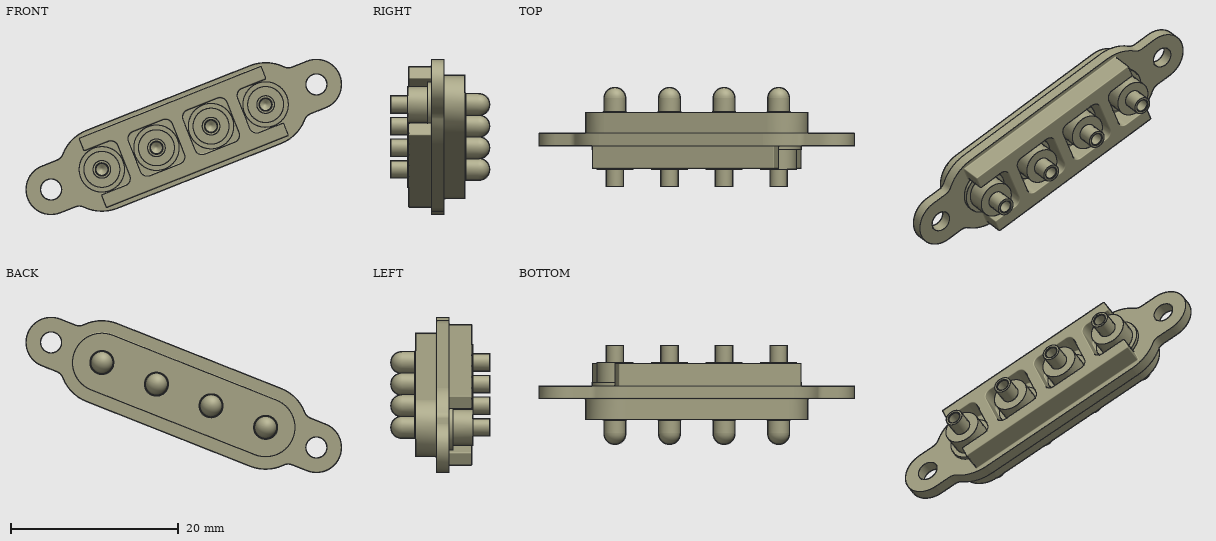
import cadquery as cq
import math

overall_length = 37.6
tilt_angle = 21.6

contact_count = 4
contact_pitch = 7.0
tip_radius = 1.3
tip_reach = 6.95
collar_radius = 2.7
collar_height = 0.45
shoulder_radius = 2.15
shoulder_height = 2.82
tail_radius = 1.05
tail_reach = 4.85
cup_radius = 0.7
cup_rim_chamfer = 0.08
cup_depth = 2.25
cup_point_angle = 118.0

plate_thickness = 1.5
plate_half_width = 5.0
ear_hole_spacing = 34.0
ear_hole_radius = 1.25
neck_radius = 1.2
ear_radius = (overall_length - ear_hole_spacing * math.cos(math.radians(tilt_angle))) / 2

boss_height = 2.5
boss_radius = 3.5
block_length = 23.3
block_width = 8.88
block_height = 2.7
pocket_size = 5.65
pocket_corner_radius = 0.9

edge_break = 0.1

row_length = (contact_count - 1) * contact_pitch
row_end = row_length / 2
contact_places = [i * contact_pitch - row_end for i in range(contact_count)]
contact_points = [(x, 0) for x in contact_places]
boss_length = row_length + 2 * boss_radius
boss_face = plate_thickness + boss_height


def front_plane(y):
    """Workplane facing -Y at depth y: a negative extrusion goes towards +Y."""
    return cq.Workplane("XZ", origin=(0, y, 0))


def make_plate():
    """Wide body with round ends and two ears, joined by concave neck arcs."""
    body = front_plane(0).slot2D(row_length + 2 * plate_half_width, 2 * plate_half_width)
    ears = front_plane(0).slot2D(ear_hole_spacing + 2 * ear_radius, 2 * ear_radius)
    plate = body.extrude(-plate_thickness).union(ears.extrude(-plate_thickness))

    corner_x = row_end + math.sqrt(plate_half_width**2 - ear_radius**2)
    for side_x in (-corner_x, corner_x):
        for side_z in (-ear_radius, ear_radius):
            corner = cq.selectors.NearestToPointSelector((side_x, plate_thickness / 2, side_z))
            plate = plate.edges("|Y").edges(corner).fillet(neck_radius)

    plate = plate.faces(">Y").edges().fillet(edge_break)
    ear_points = [(-ear_hole_spacing / 2, 0), (ear_hole_spacing / 2, 0)]
    ear_holes = front_plane(0).pushPoints(ear_points).circle(ear_hole_radius).extrude(-plate_thickness)
    return plate.cut(ear_holes)


def make_boss():
    """Rear boss with round ends concentric with the outer contacts."""
    boss = front_plane(plate_thickness).slot2D(boss_length, 2 * boss_radius)
    return boss.extrude(-boss_height)


def make_block():
    """Front block with a square pocket round each contact; the outer pockets open at the ends."""
    block = front_plane(0).rect(block_length, block_width).extrude(block_height)
    pockets = front_plane(0).pushPoints(contact_points).rect(pocket_size, pocket_size).extrude(block_height)
    pockets = pockets.edges("|Y").fillet(pocket_corner_radius)
    block = block.cut(pockets)
    block = block.faces("<X or >X").edges("|Y").fillet(edge_break)
    return block.faces("<Y").edges().fillet(edge_break)


def root_edges(y, length, width):
    """Selects the edges at depth y that lie within a rectangle about the centre of the plate."""
    margin = edge_break / 2
    reach_x = length / 2 + margin
    reach_z = width / 2 + margin
    return cq.selectors.BoxSelector((-reach_x, y - margin, -reach_z), (reach_x, y + margin, reach_z))


def make_housing():
    housing = make_plate().union(make_boss())
    housing = housing.edges(root_edges(plate_thickness, boss_length, 2 * boss_radius)).fillet(edge_break)
    housing = housing.union(make_block())
    housing = housing.edges(root_edges(0, block_length, block_width)).fillet(edge_break)
    bores = front_plane(0).pushPoints(contact_points).circle(tip_radius).extrude(-boss_face)
    return housing.cut(bores)


def make_contact(place):
    """Turned contact: domed tip, plain shank, collar, shoulder and hollow tail."""
    dome_start = tip_reach - tip_radius
    dome_mid = tip_radius * math.sqrt(0.5)
    cup_floor = cup_depth - tail_reach
    cup_point = cup_floor + cup_radius / math.tan(math.radians(cup_point_angle / 2))
    contact = (
        cq.Workplane("XY")
        .moveTo(0, cup_point)
        .lineTo(cup_radius, cup_floor)
        .lineTo(cup_radius, cup_rim_chamfer - tail_reach)
        .lineTo(cup_radius + cup_rim_chamfer, -tail_reach)
        .lineTo(tail_radius, -tail_reach)
        .lineTo(tail_radius, -shoulder_height)
        .lineTo(shoulder_radius, -shoulder_height)
        .lineTo(shoulder_radius, -collar_height)
        .lineTo(collar_radius, -collar_height)
        .lineTo(collar_radius, 0)
        .lineTo(tip_radius, 0)
        .lineTo(tip_radius, boss_face)
        .lineTo(tip_radius + edge_break, boss_face)
        .lineTo(tip_radius, boss_face + edge_break)
        .lineTo(tip_radius, dome_start)
        .threePointArc((dome_mid, dome_start + dome_mid), (0, tip_reach))
        .close()
        .revolve(360, (0, 0, 0), (0, 1, 0))
    )
    return contact.translate((place, 0, 0))


def tilt(body):
    return body.rotate((0, 0, 0), (0, 1, 0), -tilt_angle)


housing = tilt(make_housing())
contacts = [tilt(make_contact(place)) for place in contact_places]

result = cq.Compound.makeCompound([housing.val(), *[contact.val() for contact in contacts]])